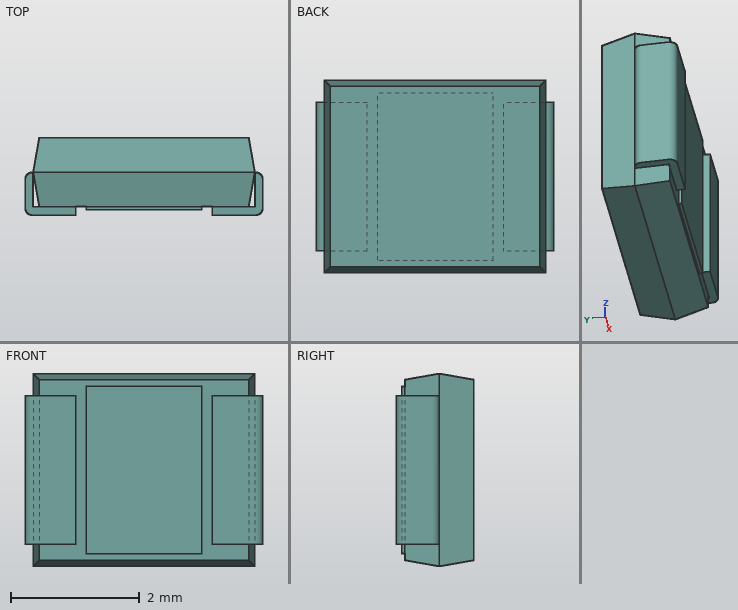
import cadquery as cq
import math

overall_width = 3.7
overall_depth = 1.21

foot_thickness = 0.135
arm_thickness = 0.125
bend_radius = 0.12
lead_length = 2.31
foot_reach = 0.79

body_width = overall_width - 2 * arm_thickness
body_length = 3.0
draft_angle = 10.0
body_base = foot_thickness
half_thickness = (overall_depth - body_base) / 2
parting_height = body_base + half_thickness

pad_width = 1.8
pad_length = 2.6
pad_thickness = 0.05


def make_body():
    """Block that is widest at the parting plane and drafts inward to both faces."""
    inset = half_thickness * math.tan(math.radians(draft_angle))
    face_width = body_width - 2 * inset
    face_length = body_length - 2 * inset

    def tapered_half(direction):
        return (
            cq.Workplane("XZ", origin=(0, parting_height, 0))
            .rect(body_width, body_length)
            .workplane(offset=-direction * half_thickness)
            .rect(face_width, face_length)
            .loft(ruled=True)
        )

    return tapered_half(1).union(tapered_half(-1))


def make_lead(side):
    """L-shaped lead with rounded outer edges: side = -1 for the -X end, +1 for the +X end."""
    outer_x = side * overall_width / 2
    inner_x = outer_x - side * arm_thickness
    foot_end_x = outer_x - side * foot_reach
    profile = [
        (outer_x, 0),
        (outer_x, parting_height),
        (inner_x, parting_height),
        (inner_x, foot_thickness),
        (foot_end_x, foot_thickness),
        (foot_end_x, 0),
    ]
    outer_face = ">X" if side > 0 else "<X"
    return (
        cq.Workplane("XY", origin=(0, 0, -lead_length / 2))
        .polyline(profile)
        .close()
        .extrude(lead_length)
        .faces(outer_face)
        .edges("|Z")
        .fillet(bend_radius)
    )


def make_pad():
    """Thin rectangular pad lying against the body's underside."""
    pad_center_y = body_base - pad_thickness / 2
    return (
        cq.Workplane("XY", origin=(0, pad_center_y, 0))
        .box(pad_width, pad_thickness, pad_length)
    )


body = make_body()
leads = [make_lead(side) for side in (-1, 1)]
pad = make_pad()

result = cq.Compound.makeCompound([body.val(), *[lead.val() for lead in leads], pad.val()])